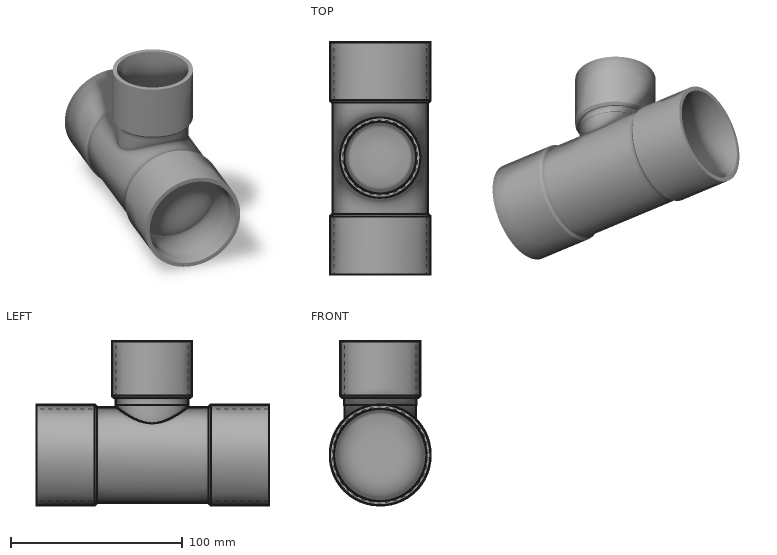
import cadquery as cq


run_length = 136.0
run_body_diameter = 56.0
run_socket_diameter = 59.0
run_bore_diameter = 54.0
run_socket_length = 35.5
run_bore_depth = 33.75
run_chamfer_length = 1.5

overall_height = 96.0
branch_socket_diameter = 47.0
branch_collar_diameter = 42.5
branch_stem_diameter = 42.0
branch_bore_diameter = 42.0
branch_socket_length = 33.3
branch_collar_length = 4.0
branch_bore_depth = 31.8
branch_chamfer_size = 1.5
branch_offset = 0.43

run_socket_radius = run_socket_diameter / 2
run_body_radius = run_body_diameter / 2
branch_top = overall_height - run_socket_radius
branch_socket_bottom = branch_top - branch_socket_length
branch_collar_bottom = branch_socket_bottom - branch_collar_length


def vertical_cylinder(diameter, bottom, height):
    """Cylinder on the branch axis starting at the given height."""
    return cq.Workplane("XY", origin=(0, branch_offset, bottom)).circle(diameter / 2).extrude(height)


def main_run():
    """Stepped body revolved about Y, wider at both end sockets."""
    end = run_length / 2
    socket_inner_end = end - run_socket_length
    chamfer_start = socket_inner_end + run_chamfer_length
    return (
        cq.Workplane("XY")
        .moveTo(0, -end)
        .lineTo(run_socket_radius, -end)
        .lineTo(run_socket_radius, -chamfer_start)
        .lineTo(run_body_radius, -socket_inner_end)
        .lineTo(run_body_radius, socket_inner_end)
        .lineTo(run_socket_radius, chamfer_start)
        .lineTo(run_socket_radius, end)
        .lineTo(0, end)
        .close()
        .revolve(360, (0, 0, 0), (0, 1, 0))
    )


def branch():
    """Stem from the run axis, a short collar, and a socket chamfered at its lower rim."""
    stem = vertical_cylinder(branch_stem_diameter, 0, branch_collar_bottom)
    collar = vertical_cylinder(branch_collar_diameter, branch_collar_bottom, branch_collar_length)
    socket = vertical_cylinder(branch_socket_diameter, branch_socket_bottom, branch_socket_length)
    socket = socket.faces("<Z").chamfer(branch_chamfer_size)
    return stem.union(collar).union(socket)


def run_bore(side):
    """Blind socket bore in the run end on the given side of Y (-1 or 1)."""
    bore_floor = run_length / 2 - run_bore_depth
    return (
        cq.Workplane("XZ", origin=(0, side * bore_floor, 0))
        .circle(run_bore_diameter / 2)
        .extrude(-side * run_bore_depth)
    )


def branch_bore():
    """Blind socket bore in the top of the branch."""
    return vertical_cylinder(branch_bore_diameter, branch_top - branch_bore_depth, branch_bore_depth)


result = main_run().union(branch()).cut(branch_bore())
for side in (-1, 1):
    result = result.cut(run_bore(side))